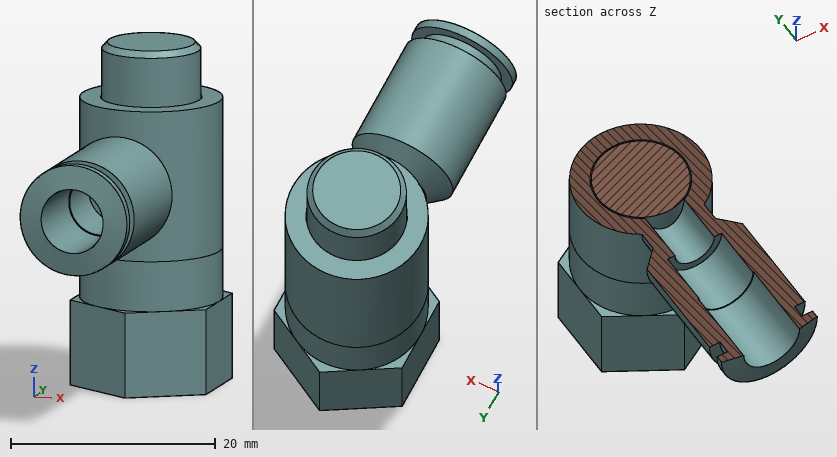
import cadquery as cq
import math

total_height = 34.0
total_depth = 32.37

hex_across_flats = 14.0
hex_corner_radius = hex_across_flats / math.sqrt(3)
hex_height = 8.5
collar_top = 13.5
barrel_diameter = hex_across_flats
stem_diameter = 9.72
stem_tip_diameter = 8.6
stem_chamfer_width = (stem_diameter - stem_tip_diameter) / 2
stem_chamfer_height = 0.6

swivel_top = 28.5
bore_diameter = 9.9

arm_axis_height = 21.0
arm_end = total_depth - hex_corner_radius
neck_radius = 7.2 / 2
arm_radius = 11.0 / 2
groove_radius = 8.6 / 2
cone_start = 8.02
cone_end = 10.0
groove_start = 21.62
groove_end = 23.0
rim_edge = 23.87

socket_radius = 6.2 / 2
socket_mouth_radius = 6.4 / 2
socket_step = 15.8
passage_radius = 4.5 / 2
socket_floor = cone_end


def make_bolt():
    """Hexagon head with a round collar and a chamfered stem."""
    head = (
        cq.Workplane("XY")
        .polygon(6, 2 * hex_corner_radius)
        .extrude(hex_height)
        .rotate((0, 0, 0), (0, 0, 1), 90)
    )
    collar = cq.Workplane("XY").circle(barrel_diameter / 2).extrude(collar_top)
    stem = (
        cq.Workplane("XY")
        .circle(stem_diameter / 2)
        .extrude(total_height)
        .faces(">Z")
        .chamfer(stem_chamfer_height, stem_chamfer_width)
    )
    return head.union(collar).union(stem)


def revolve_about_arm_axis(outline):
    """Turn an outline of (radius, distance from stem axis) points about the arm axis."""
    return (
        cq.Workplane("XY")
        .polyline([(radius, -distance) for radius, distance in outline])
        .close()
        .revolve(360, (0, 0, 0), (0, 1, 0))
        .translate((0, 0, arm_axis_height))
    )


def make_arm():
    """Neck, cone, sleeve and grooved release rim with a sloping end face."""
    return revolve_about_arm_axis([
        (0, 0),
        (neck_radius, 0),
        (neck_radius, cone_start),
        (arm_radius, cone_end),
        (arm_radius, groove_start),
        (groove_radius, groove_start),
        (groove_radius, groove_end),
        (arm_radius, groove_end),
        (arm_radius, rim_edge),
        (socket_mouth_radius, arm_end),
        (0, arm_end),
    ])


def make_socket():
    """Stepped hollow: passage from the bore, tube socket and slightly wider mouth."""
    return revolve_about_arm_axis([
        (0, 0),
        (passage_radius, 0),
        (passage_radius, socket_floor),
        (socket_radius, socket_floor),
        (socket_radius, socket_step),
        (socket_mouth_radius, socket_step),
        (socket_mouth_radius, arm_end),
        (0, arm_end),
    ])


def make_swivel():
    """Barrel with its side arm, bored for the stem and hollowed for the tube."""
    swivel_height = swivel_top - collar_top
    base = cq.Workplane("XY").workplane(offset=collar_top)
    barrel = base.circle(barrel_diameter / 2).extrude(swivel_height)
    bore = base.circle(bore_diameter / 2).extrude(swivel_height)
    return barrel.union(make_arm()).cut(bore).cut(make_socket())


bolt = make_bolt()
swivel = make_swivel()
result = cq.Compound.makeCompound([bolt.val(), swivel.val()])